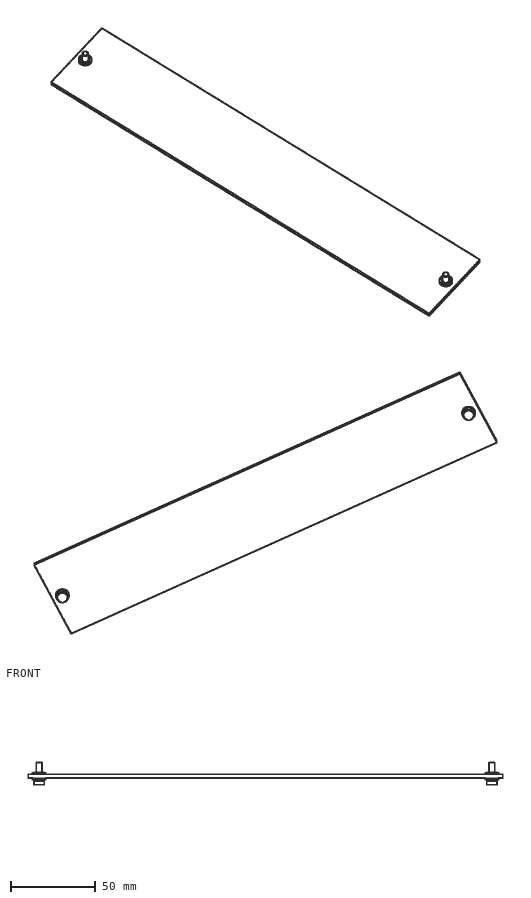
import cadquery as cq

plate_length = 281.7
plate_width = 50.0
plate_thickness = 2.4

overall_height = 13.5
screw_inset = 6.5
shaft_top = 7.0
shaft_radius = 1.83
shaft_chamfer = 0.42
head_radius = 3.0
head_height = 2.3

washer_radius = 4.0
upper_washer_height = 0.7
lower_washer_height = 1.0
collar_radius = 2.8
upper_collar_height = 1.0

head_bottom = shaft_top - overall_height
head_top = head_bottom + head_height


def make_disc(radius, bottom, top):
    """Upright cylinder on the Z axis between two heights."""
    return cq.Workplane("XY").workplane(offset=bottom).circle(radius).extrude(top - bottom)


def make_plate():
    """Flat rectangular sheet below Z = 0."""
    return cq.Workplane("XY").rect(plate_length, plate_width).extrude(-plate_thickness)


def make_screw():
    """Screw on the Z axis with its washers and collars."""
    head = make_disc(head_radius, head_bottom, head_top)
    shaft = make_disc(shaft_radius, head_top, shaft_top).faces(">Z").chamfer(shaft_chamfer)
    upper_washer = make_disc(washer_radius, 0, upper_washer_height)
    upper_collar = make_disc(collar_radius, 0, upper_collar_height)
    lower_washer = make_disc(washer_radius, -plate_thickness - lower_washer_height, -plate_thickness)
    lower_collar = make_disc(collar_radius, head_top, -plate_thickness)
    screw = head.union(shaft).union(upper_washer).union(upper_collar)
    return screw.union(lower_washer).union(lower_collar)


result = make_plate()
for side in (-1, 1):
    screw_x = side * (plate_length / 2 - screw_inset)
    result = result.union(make_screw().translate((screw_x, 0, 0)))